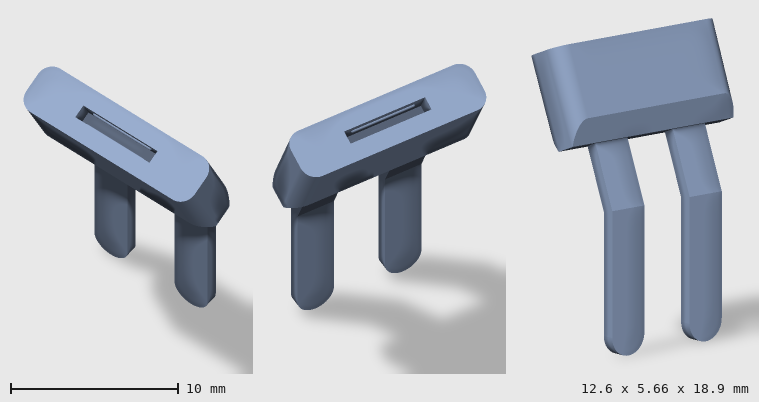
import cadquery as cq
import math

total_depth = 5.66
total_height = 18.87
tilt = 22.0

head_width = 12.6
head_base_width = 12.5
head_thickness = 3.17
head_length = 6.0
corner_radius = 0.98
base_thickness = 1.4
taper_length = 1.43

socket_width = 5.55
socket_thickness = 0.85
socket_depth = 1.34

ridge_length = 4.38
ridge_radius = 0.11
ridge_drop = 0.58

leg_width = 2.5
leg_thickness = 0.8
leg_spacing = 6.0
bend_height = 8.83
leg_embed = 0.38

lean_sin = math.sin(math.radians(tilt))
lean_cos = math.cos(math.radians(tilt))
back_y = total_depth / 2
bottom_z = -total_height / 2

top_y = -total_depth / 2 + head_thickness / 2 * lean_cos
top_z = total_height / 2 - head_thickness / 2 * lean_sin


def make_head():
    """Head in its own frame: top face centred on the origin, body along -Z."""
    block = (
        cq.Workplane("XZ")
        .polyline([
            (-head_width / 2, 0),
            (head_width / 2, 0),
            (head_base_width / 2, -head_length),
            (-head_base_width / 2, -head_length),
        ])
        .close()
        .extrude(head_thickness / 2, both=True)
        .edges("not(|X or |Y)")
        .fillet(corner_radius)
    )
    side = head_thickness / 2
    base = base_thickness / 2
    shoulder_z = taper_length - head_length
    profile = (
        cq.Workplane("YZ")
        .polyline([
            (-side, 0),
            (side, 0),
            (side, shoulder_z),
            (base, -head_length),
            (-base, -head_length),
            (-side, shoulder_z),
        ])
        .close()
        .extrude(head_width / 2, both=True)
    )
    return block.intersect(profile)


def make_socket():
    """Socket volume to remove, in the head's frame, leaving a ridge on each long wall."""
    socket = cq.Workplane("XY").rect(socket_width, socket_thickness).extrude(-socket_depth)
    straight_length = ridge_length - 2 * ridge_radius
    for wall_y in (-socket_thickness / 2, socket_thickness / 2):
        ridge = cq.Workplane("YZ").circle(ridge_radius).extrude(straight_length / 2, both=True)
        for end_x in (-straight_length / 2, straight_length / 2):
            ridge = ridge.union(cq.Workplane("XY").sphere(ridge_radius).translate((end_x, 0, 0)))
        socket = socket.cut(ridge.translate((0, wall_y, -ridge_drop)))
    return socket


def make_leg(center_x):
    """Bent strip with a round tip, rising into the head."""
    front_y = back_y - leg_thickness
    front_bend_z = bottom_z + bend_height
    back_bend_z = front_bend_z + leg_thickness * math.tan(math.radians(tilt / 2))
    base_z = top_z - head_length * lean_cos
    upper_length = (base_z - front_bend_z) / lean_cos + leg_embed
    rise_y = -upper_length * lean_sin
    rise_z = upper_length * lean_cos
    strip = (
        cq.Workplane("YZ", origin=(center_x, 0, 0))
        .polyline([
            (front_y, bottom_z),
            (back_y, bottom_z),
            (back_y, back_bend_z),
            (back_y + rise_y, back_bend_z + rise_z),
            (front_y + rise_y, front_bend_z + rise_z),
            (front_y, front_bend_z),
        ])
        .close()
        .extrude(leg_width / 2, both=True)
    )
    outline = (
        cq.Workplane("XZ")
        .moveTo(center_x - leg_width / 2, total_height / 2)
        .lineTo(center_x - leg_width / 2, bottom_z + leg_width / 2)
        .threePointArc((center_x, bottom_z), (center_x + leg_width / 2, bottom_z + leg_width / 2))
        .lineTo(center_x + leg_width / 2, total_height / 2)
        .close()
        .extrude(total_depth, both=True)
    )
    return strip.intersect(outline)


head = make_head().cut(make_socket())
result = head.rotate((0, 0, 0), (1, 0, 0), tilt).translate((0, top_y, top_z))
for side_sign in (-1, 1):
    result = result.union(make_leg(side_sign * leg_spacing / 2))